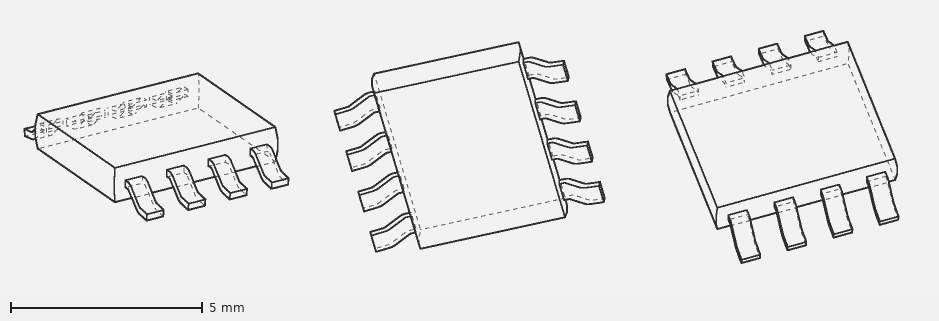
import cadquery as cq
import math

body_x = 4.0
body_y = 5.0
body_height = 0.99
band_height = 0.315
draft_angle = 8.0

overall_x = 6.2
overall_height = 1.15
lead_count = 4
lead_pitch = 1.27
lead_width = 0.515
lead_thickness = 0.2
lead_drop = 0.01
lead_embed = 0.185
shoulder_length = 0.135
slope_angle = math.radians(45.0)
foot_angle = math.radians(8.0)
shoulder_inner_radius = 0.025
foot_inner_radius = 0.1


def make_body():
    band = cq.Workplane("XY").box(body_x, body_y, band_height)
    slab_height = (body_height - band_height) / 2
    upper_slab = (
        cq.Workplane("XY", origin=(0, 0, band_height / 2))
        .rect(body_x, body_y)
        .extrude(slab_height, taper=draft_angle)
    )
    lower_slab = upper_slab.mirror("XY")
    return band.union(upper_slab).union(lower_slab)


def polar(center, radius, angle):
    """Point at an angle measured from the +Z direction towards +X."""
    return (center[0] + radius * math.sin(angle), center[1] + radius * math.cos(angle))


def make_lead():
    """Lead on the +X side, drawn in the XZ plane and centred on Y = 0."""
    root_x = body_x / 2
    top_z = lead_thickness / 2 - lead_drop
    bottom_z = top_z - lead_thickness
    shoulder_outer_radius = shoulder_inner_radius + lead_thickness
    foot_outer_radius = foot_inner_radius + lead_thickness

    shoulder_center = (root_x + shoulder_length, bottom_z - shoulder_inner_radius)
    slope_top_x, slope_top_z = polar(shoulder_center, shoulder_outer_radius, slope_angle)

    bend_x = foot_inner_radius * (math.sin(slope_angle) - math.sin(foot_angle))
    bend_z = foot_inner_radius * (math.cos(foot_angle) - math.cos(slope_angle))
    tip_top_x = overall_x / 2
    tip_top_z = body_height / 2 - overall_height + lead_thickness * math.cos(foot_angle)
    reach_x = tip_top_x - slope_top_x - bend_x
    reach_z = slope_top_z - tip_top_z - bend_z
    turn = math.sin(slope_angle - foot_angle)
    slope_length = (reach_z * math.cos(foot_angle) - reach_x * math.sin(foot_angle)) / turn

    slope_end_x = slope_top_x + slope_length * math.cos(slope_angle)
    slope_end_z = slope_top_z - slope_length * math.sin(slope_angle)
    foot_center = polar((slope_end_x, slope_end_z), foot_inner_radius, slope_angle)
    bend_start = math.pi + slope_angle
    bend_end = math.pi + foot_angle
    bend_middle = (bend_start + bend_end) / 2

    tip_top = (tip_top_x, tip_top_z)
    tip_bottom = polar(tip_top, -lead_thickness, foot_angle)
    profile = (
        cq.Workplane("XZ")
        .moveTo(root_x - lead_embed, top_z)
        .lineTo(root_x + shoulder_length, top_z)
        .threePointArc(
            polar(shoulder_center, shoulder_outer_radius, slope_angle / 2),
            (slope_top_x, slope_top_z),
        )
        .lineTo(slope_end_x, slope_end_z)
        .threePointArc(
            polar(foot_center, foot_inner_radius, bend_middle),
            polar(foot_center, foot_inner_radius, bend_end),
        )
        .lineTo(*tip_top)
        .lineTo(*tip_bottom)
        .lineTo(*polar(foot_center, foot_outer_radius, bend_end))
        .threePointArc(
            polar(foot_center, foot_outer_radius, bend_middle),
            polar(foot_center, foot_outer_radius, bend_start),
        )
        .lineTo(*polar(shoulder_center, shoulder_inner_radius, slope_angle))
        .threePointArc(
            polar(shoulder_center, shoulder_inner_radius, slope_angle / 2),
            (root_x + shoulder_length, bottom_z),
        )
        .lineTo(root_x - lead_embed, bottom_z)
        .close()
    )
    return profile.extrude(lead_width / 2, both=True)


result = make_body()
right_lead = make_lead()
left_lead = right_lead.mirror("YZ")
for index in range(lead_count):
    lead_y = (index - (lead_count - 1) / 2) * lead_pitch
    result = result.union(right_lead.translate((0, lead_y, 0)))
    result = result.union(left_lead.translate((0, lead_y, 0)))